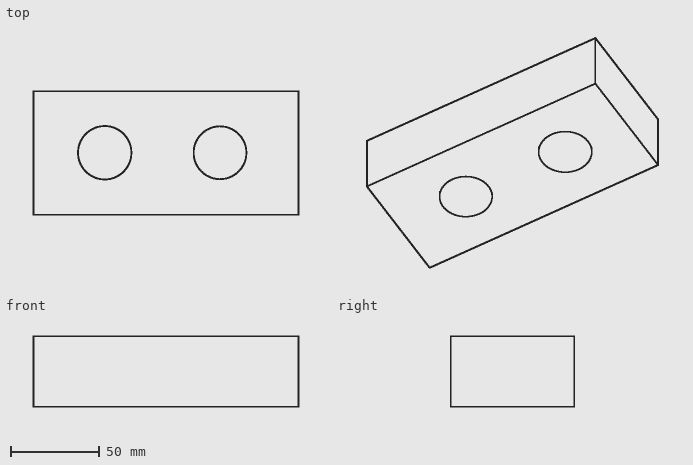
import cadquery as cq

length = 150.0
width = 70.0
height = 40.0

left_hole_diameter = 30.1
right_hole_diameter = 29.75
left_hole_from_end = 40.35
hole_spacing = 65.2
hole_row_from_front = 35.1


def make_block():
    return cq.Workplane("XY").box(length, width, height)


def make_bore(distance_from_end, diameter):
    """Full-height cylinder in the hole row, placed from the left end of the block."""
    x = distance_from_end - length / 2
    y = hole_row_from_front - width / 2
    return cq.Workplane("XY").center(x, y).cylinder(height, diameter / 2)


result = make_block()
result = result.cut(make_bore(left_hole_from_end, left_hole_diameter))
result = result.cut(make_bore(left_hole_from_end + hole_spacing, right_hole_diameter))